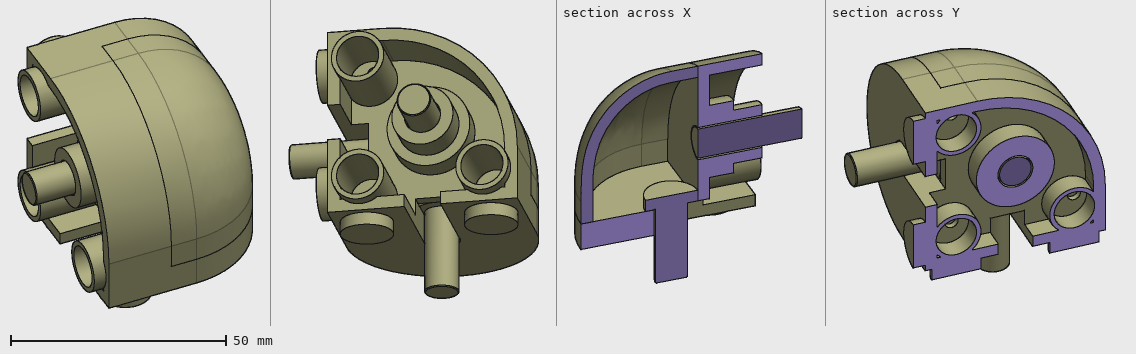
import cadquery as cq
import math


housing_size = 45.0
half_size = housing_size / 2
outer_bend_radius = 32.0
bend_axis = half_size - outer_bend_radius
wall = 3.0

side_wall_inner = -half_size + 7.0
partition_front = -half_size + 13.0
partition_back = -half_size + 16.0

shaft_radius = 4.0
shaft_chamfer = 0.25
shaft_clearance = 0.3
bore_radius = shaft_radius + shaft_clearance
overall_length = 58
side_shaft_overhang = overall_length - housing_size
front_shaft_overhang = 10.0
flange_radius = 6.5
flange_thickness = 3.0

large_boss_radius = 9.8
small_boss_radius = 7.25
large_boss_front = -half_size + 7.0

pad_radius = 6.2
pad_height = 3.0
pad_offset = 14.75
tube_bore_radius = 5.0
screw_hole_radius = 1.6
screw_hole_depth = 1.5
near_screw = -half_size + 8.5
far_screw = -half_size + 39.1


def cylinder(radius, start, direction, length):
    """Solid cylinder from a start point along a direction."""
    axis = cq.Vector(*direction)
    return cq.Workplane(obj=cq.Solid.makeCylinder(radius, length, cq.Vector(*start), axis))


def box(low, high):
    """Axis-aligned box between two opposite corners."""
    size = [b - a for a, b in zip(low, high)]
    return cq.Workplane("XY").box(*size, centered=False).translate(low)


def elbow(inset):
    """Two round-backed legs along -X and -Z joined by a 90 degree bend, offset inward by the inset."""
    radius = half_size - inset
    leg_length = bend_axis + radius

    leg_x = (
        cq.Workplane("YZ", origin=(-radius, 0, 0))
        .moveTo(0, -radius)
        .lineTo(-half_size, -radius)
        .lineTo(-half_size, radius)
        .lineTo(0, radius)
        .threePointArc((radius, 0), (0, -radius))
        .close()
        .extrude(leg_length)
    )
    leg_z = (
        cq.Workplane("XY", origin=(0, 0, -radius))
        .moveTo(-radius, 0)
        .lineTo(-radius, -half_size)
        .lineTo(radius, -half_size)
        .lineTo(radius, 0)
        .threePointArc((0, radius), (-radius, 0))
        .close()
        .extrude(leg_length)
    )

    section_angle = math.asin(bend_axis / radius)
    middle_angle = (section_angle + math.pi / 2) / 2
    bend = (
        cq.Workplane("YZ", origin=(bend_axis, 0, 0))
        .moveTo(-half_size, bend_axis)
        .lineTo(-half_size, radius)
        .lineTo(0, radius)
        .threePointArc(
            (radius * math.cos(middle_angle), radius * math.sin(middle_angle)),
            (radius * math.cos(section_angle), bend_axis),
        )
        .close()
        .revolve(90, (0, bend_axis, 0), (1, bend_axis, 0))
    )
    return leg_x.union(leg_z).union(bend)


def side_slot():
    """Round-ended slot through the -X wall, open to the front."""
    depth = side_wall_inner + half_size
    straight = box((-half_size, -half_size, -bore_radius), (side_wall_inner, 0, bore_radius))
    return straight.union(cylinder(bore_radius, (-half_size, 0, 0), (1, 0, 0), depth))


def swap_x_and_z(shape):
    """Mirror a shape about the plane x = z."""
    return shape.rotate((0, 0, 0), (0, 1, 0), 90).mirror("XY")


outer_elbow = elbow(0)
inner_elbow = elbow(wall)
cap_region = box((side_wall_inner, partition_back, side_wall_inner), (half_size,) * 3)
front_region = box((-half_size,) * 3, (half_size, partition_front, half_size))


def make_cap():
    """Curved shell closing the back of the base."""
    return outer_elbow.intersect(cap_region).cut(inner_elbow)


def make_base():
    """Walls, front frame and partition with bosses, pads, tubes, slots and holes."""
    base = outer_elbow.cut(cap_region).cut(inner_elbow.intersect(front_region))

    for radius, front in ((large_boss_radius, large_boss_front), (small_boss_radius, -half_size)):
        base = base.union(cylinder(radius, (0, front, 0), (0, 1, 0), partition_front - front))

    pad_y = -pad_offset
    for position in (-pad_offset, pad_offset):
        pad = cylinder(pad_radius, (-half_size, pad_y, position), (-1, 0, 0), pad_height)
        base = base.union(pad).union(swap_x_and_z(pad))

    tube_front = -half_size - pad_height
    tube_length = partition_front - tube_front
    corners = (
        (-pad_offset, -pad_offset, near_screw, near_screw),
        (pad_offset, -pad_offset, far_screw, near_screw),
        (-pad_offset, pad_offset, near_screw, far_screw),
    )
    for tube_x, tube_z, screw_x, screw_z in corners:
        tube_start = (tube_x, tube_front, tube_z)
        base = base.union(cylinder(pad_radius, tube_start, (0, 1, 0), tube_length))
        base = base.cut(cylinder(tube_bore_radius, tube_start, (0, 1, 0), tube_length))
        screw_start = (screw_x, partition_front, screw_z)
        base = base.cut(cylinder(screw_hole_radius, screw_start, (0, 1, 0), screw_hole_depth))

    slot = side_slot()
    base = base.cut(slot).cut(swap_x_and_z(slot))
    bore_length = partition_back + half_size
    return base.cut(cylinder(bore_radius, (0, -half_size, 0), (0, 1, 0), bore_length))


def make_side_shaft():
    """Shaft along X with a retaining flange behind the -X wall."""
    tip = -half_size - side_shaft_overhang
    shaft = cylinder(shaft_radius, (tip, 0, 0), (1, 0, 0), side_wall_inner - tip)
    shaft = shaft.faces("<X").chamfer(shaft_chamfer)
    return shaft.union(cylinder(flange_radius, (side_wall_inner, 0, 0), (1, 0, 0), flange_thickness))


def make_front_shaft():
    """Plain shaft along Y, ending flush with the back of the partition."""
    tip = -half_size - front_shaft_overhang
    shaft = cylinder(shaft_radius, (0, tip, 0), (0, 1, 0), partition_back - tip)
    return shaft.faces("<Y").chamfer(shaft_chamfer)


base = make_base()
cap = make_cap()
front_shaft = make_front_shaft()
side_shaft = make_side_shaft()
side_shafts = [side_shaft, swap_x_and_z(side_shaft)]

result = cq.Compound.makeCompound(
    [base.val(), cap.val(), front_shaft.val(), *[shaft.val() for shaft in side_shafts]]
)